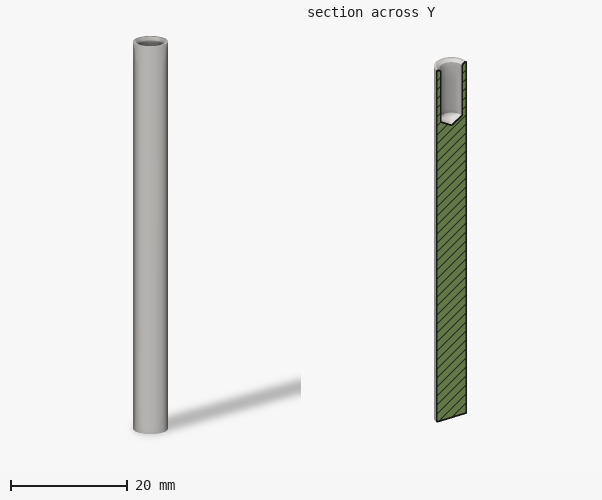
import cadquery as cq
import math

rod_length = 70.0
rod_diameter = 6.0

hole_diameter = 4.2
hole_depth = 10.5
drill_point_angle = 118.0

countersink_diameter = 5.2
countersink_angle = 90.0


def cone_height(radial_width, included_angle):
    """Height of a cone flank that spans the given radial width."""
    return radial_width / math.tan(math.radians(included_angle / 2))


hole_radius = hole_diameter / 2
countersink_radius = countersink_diameter / 2
countersink_depth = cone_height(countersink_radius - hole_radius, countersink_angle)
drill_point_height = cone_height(hole_radius, drill_point_angle)

rod = cq.Workplane("XY").circle(rod_diameter / 2).extrude(rod_length)

hole_bottom = rod_length - hole_depth
drilled_hole = (
    cq.Workplane("XZ")
    .moveTo(0, rod_length)
    .lineTo(countersink_radius, rod_length)
    .lineTo(hole_radius, rod_length - countersink_depth)
    .lineTo(hole_radius, hole_bottom)
    .lineTo(0, hole_bottom - drill_point_height)
    .close()
    .revolve(360, (0, 0), (0, 1))
)

result = rod.cut(drilled_hole)